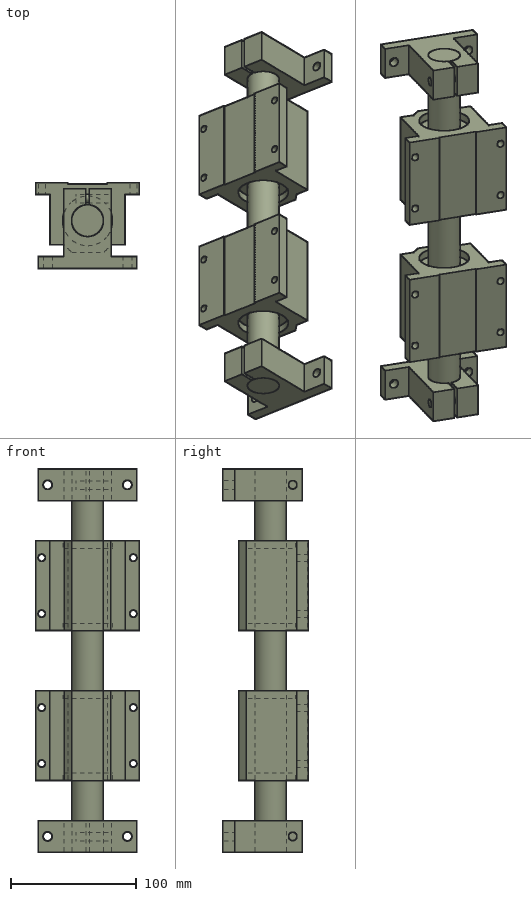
import cadquery as cq


shaft_length = 304.8
shaft_diameter = 25.3

support_height = 25.3
support_base_width = 78.5
support_base_thickness = 9.8
support_stem_width = 38.0
support_front = -38.0
support_back = 25.3
support_slot_width = 2.5
support_hole_spacing = 63.5
support_hole_diameter = 7.0

housing_height = 71.5
housing_spacing = 119.2
housing_width = 82.5
housing_back = 30.2
flange_thickness = 9.5
housing_body_width = 59.7
housing_body_front = -19.2
pad_width = 25.0
pad_projection = 6.0
relief_width = 31.5
relief_depth = 1.0
housing_hole_spacing_x = 72.8
housing_hole_spacing_z = 44.5
housing_hole_diameter = 5.5
counterbore_diameter = 39.5
counterbore_depth = 6.0

screw_diameter = 6.7
screw_y = 17.7
screw_head_end = support_stem_width / 2
screw_tip = -support_stem_width / 4


def centred_cylinder(diameter, length):
    """Cylinder on the Z axis, centred on Z = 0."""
    return cq.Workplane("XY").workplane(offset=-length / 2).circle(diameter / 2).extrude(length)


def holes_along_y(points, diameter):
    """Cutters that run right through a body along Y at the given (X, Z) points."""
    return cq.Workplane("XZ").pushPoints(points).circle(diameter / 2).extrude(housing_width, both=True)


def mirrored_prism(right_half, height):
    """Extrude an outline given by its +X half, listed from front to back, centred on Z = 0."""
    left_half = [(-x, y) for x, y in reversed(right_half)]
    base = cq.Workplane("XY").workplane(offset=-height / 2)
    return base.polyline(right_half + left_half).close().extrude(height)


def make_shaft():
    return centred_cylinder(shaft_diameter, shaft_length)


def make_clamp_screw():
    """Plain screw along X that joins the two jaws of a support across its slot."""
    tip_plane = cq.Workplane("YZ").workplane(offset=screw_tip)
    return tip_plane.center(screw_y, 0).circle(screw_diameter / 2).extrude(screw_head_end - screw_tip)


def make_support():
    """T-shaped shaft support with a clamping slot and a blind hole for the clamp screw."""
    base_back = support_front + support_base_thickness
    right_half = [
        (support_base_width / 2, support_front),
        (support_base_width / 2, base_back),
        (support_stem_width / 2, base_back),
        (support_stem_width / 2, support_back),
    ]
    body = mirrored_prism(right_half, support_height)

    bore = centred_cylinder(shaft_diameter, support_height)
    slot = cq.Workplane("XY").box(
        support_slot_width, support_back, support_height, centered=(True, False, True)
    )
    hole_x = support_hole_spacing / 2
    mounting_holes = holes_along_y([(-hole_x, 0), (hole_x, 0)], support_hole_diameter)
    return body.cut(bore).cut(slot).cut(mounting_holes).cut(make_clamp_screw())


def make_housing():
    """Flanged bearing housing with a bevelled front pad, a back relief and a counterbored shaft bore."""
    flange_front = housing_back - flange_thickness
    pad_front = housing_body_front - pad_projection
    right_half = [
        (pad_width / 2, pad_front),
        (pad_width / 2 + pad_projection, housing_body_front),
        (housing_body_width / 2, housing_body_front),
        (housing_body_width / 2, flange_front),
        (housing_width / 2, flange_front),
        (housing_width / 2, housing_back),
        (relief_width / 2, housing_back),
        (relief_width / 2, housing_back - relief_depth),
    ]
    body = mirrored_prism(right_half, housing_height)

    bore = centred_cylinder(shaft_diameter, housing_height)
    narrow_length = housing_height - 2 * counterbore_depth
    counterbores = centred_cylinder(counterbore_diameter, housing_height).cut(
        centred_cylinder(counterbore_diameter, narrow_length)
    )
    hole_x = housing_hole_spacing_x / 2
    hole_z = housing_hole_spacing_z / 2
    hole_points = [(x, z) for x in (-hole_x, hole_x) for z in (-hole_z, hole_z)]
    mounting_holes = holes_along_y(hole_points, housing_hole_diameter)
    return body.cut(bore).cut(counterbores).cut(mounting_holes)


shaft = make_shaft()
supports = []
clamp_screws = []
housings = []
support_z = (shaft_length - support_height) / 2
housing_z = housing_spacing / 2
for side in (-1, 1):
    supports.append(make_support().translate((0, 0, side * support_z)))
    clamp_screws.append(make_clamp_screw().translate((0, 0, side * support_z)))
    housings.append(make_housing().translate((0, 0, side * housing_z)))

bodies = [shaft, *supports, *clamp_screws, *housings]
result = cq.Compound.makeCompound([body.val() for body in bodies])